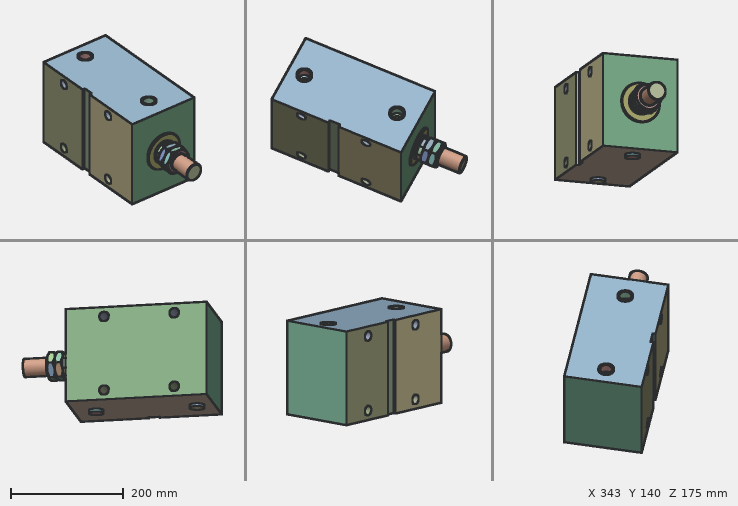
import cadquery as cq
import math

BLOCK_LENGTH = 254.5
BLOCK_WIDTH = 140.0
BLOCK_HEIGHT = 169.8
OVERALL_LENGTH = 343.0
OVERALL_HEIGHT = 175.0

AXIS_Y = BLOCK_WIDTH / 2
AXIS_Z = BLOCK_HEIGHT / 2

SLOT_CENTER_X = 121.8
SLOT_WIDTH = 20.0
SLOT_DEPTH = 5.0
BOLT_HOLE_DIAMETER = 17.0
BOLT_SPACING_X = 127.0
BOLT_SPACING_Z = 135.0

PORT_X = [31.0, 213.0]
SPOT_FACE_DIAMETER = 28.0
SPOT_FACE_DEPTH = 0.1
PORT_DIAMETER = 21.3
PORT_DEPTH = 17.0
OIL_DUCT_DIAMETER = 9.0

PLUG_DIAMETER = 26.0
PLUG_HEIGHT = OVERALL_HEIGHT - BLOCK_HEIGHT

COLLAR_DIAMETER = 72.0
COLLAR_THICKNESS = 3.0
COLLAR_CHAMFER = 1.0

BORE_END_WALL = 15.5
ROD_DIAMETER = 45.0
ROD_SHOULDER_X = BLOCK_LENGTH + 6.2
WRENCH_DIAMETER = 44.0
WRENCH_ACROSS_FLATS = 40.0
THREAD_DIAMETER = 33.0
NECK_DIAMETER = 31.5
NECK_LENGTH = 1.7
THREAD_CHAMFER = 1.0

NUT_COUNT = 2
NUT_START_X = BLOCK_LENGTH + 15.5
NUT_THICKNESS = 14.0
NUT_ACROSS_FLATS = 46.0
NUT_FACE_DIAMETER = 45.0
NUT_CHAMFER_LENGTH = 3.0
NUT_END_X = NUT_START_X + NUT_COUNT * NUT_THICKNESS


def axis_plane(x):
    """Plane across the cylinder axis at x, facing +X."""
    return cq.Plane(origin=(x, AXIS_Y, AXIS_Z), xDir=(0, 1, 0), normal=(1, 0, 0))


def cylinder_on_axis(x_start, x_end, diameter):
    return cq.Workplane(axis_plane(x_start)).circle(diameter / 2).extrude(x_end - x_start)


def port_cut(x):
    """Spot face, port and the thin duct down to the rod bore."""
    top = cq.Workplane("XY").center(x, AXIS_Y)
    spot_floor = BLOCK_HEIGHT - SPOT_FACE_DEPTH
    spot_face = top.workplane(offset=spot_floor).circle(SPOT_FACE_DIAMETER / 2).extrude(SPOT_FACE_DEPTH)
    port = top.workplane(offset=spot_floor).circle(PORT_DIAMETER / 2).extrude(-PORT_DEPTH)
    duct = top.workplane(offset=AXIS_Z).circle(OIL_DUCT_DIAMETER / 2).extrude(spot_floor - AXIS_Z)
    return spot_face.union(port).union(duct)


def make_housing():
    block = cq.Workplane("XY").box(BLOCK_LENGTH, BLOCK_WIDTH, BLOCK_HEIGHT, centered=False)
    collar_end = BLOCK_LENGTH + COLLAR_THICKNESS
    collar = cylinder_on_axis(BLOCK_LENGTH, collar_end, COLLAR_DIAMETER)
    collar = collar.faces(">X").edges().chamfer(COLLAR_CHAMFER)
    slot = cq.Workplane("XY").box(SLOT_WIDTH, SLOT_DEPTH, BLOCK_HEIGHT, centered=False)
    slot = slot.translate((SLOT_CENTER_X - SLOT_WIDTH / 2, 0, 0))
    bolt_holes = (
        cq.Workplane("XZ", origin=(SLOT_CENTER_X, 0, AXIS_Z))
        .rarray(BOLT_SPACING_X, BOLT_SPACING_Z, 2, 2)
        .circle(BOLT_HOLE_DIAMETER / 2)
        .extrude(-BLOCK_WIDTH)
    )
    housing = block.union(collar).cut(slot).cut(bolt_holes)
    for x in PORT_X:
        housing = housing.cut(port_cut(x))
    return housing.cut(cylinder_on_axis(BORE_END_WALL, collar_end, ROD_DIAMETER))


def make_plug(x):
    """Round plug head seated against the underside of the block."""
    return cq.Workplane("XY").center(x, AXIS_Y).circle(PLUG_DIAMETER / 2).extrude(-PLUG_HEIGHT)


def make_rod():
    """Plain rod, a section with four wrench flats, then a necked end with a chamfered thread."""
    shank = cylinder_on_axis(BORE_END_WALL, ROD_SHOULDER_X, ROD_DIAMETER)
    wrench_section = (
        cq.Workplane(axis_plane(ROD_SHOULDER_X))
        .rect(WRENCH_ACROSS_FLATS, WRENCH_ACROSS_FLATS)
        .extrude(NUT_START_X - ROD_SHOULDER_X)
        .intersect(cylinder_on_axis(ROD_SHOULDER_X, NUT_START_X, WRENCH_DIAMETER))
    )
    neck_end = NUT_END_X + NECK_LENGTH
    nut_seat = cylinder_on_axis(NUT_START_X, NUT_END_X, THREAD_DIAMETER)
    neck = cylinder_on_axis(NUT_END_X, neck_end, NECK_DIAMETER)
    thread = cylinder_on_axis(neck_end, OVERALL_LENGTH, THREAD_DIAMETER)
    thread = thread.faces("<X or >X").edges().chamfer(THREAD_CHAMFER)
    return shank.union(wrench_section).union(nut_seat).union(neck).union(thread)


def make_nut(x):
    """Hexagon nut with flats facing up and down and coned corners on both ends."""
    corner_diameter = NUT_ACROSS_FLATS / math.cos(math.pi / 6)
    corner_height = (corner_diameter - NUT_FACE_DIAMETER) / 2
    hexagon = cq.Workplane(axis_plane(x)).polygon(6, corner_diameter).extrude(NUT_THICKNESS)
    coned_blank = (
        cylinder_on_axis(x, x + NUT_THICKNESS, corner_diameter)
        .faces("<X").edges().chamfer(NUT_CHAMFER_LENGTH, corner_height)
        .faces(">X").edges().chamfer(NUT_CHAMFER_LENGTH, corner_height)
    )
    bore = cylinder_on_axis(x, x + NUT_THICKNESS, THREAD_DIAMETER)
    return hexagon.intersect(coned_blank).cut(bore)


housing = make_housing()
rod = make_rod()
plugs = [make_plug(x) for x in PORT_X]
nuts = [make_nut(NUT_START_X + i * NUT_THICKNESS) for i in range(NUT_COUNT)]

result = cq.Compound.makeCompound(
    [housing.val(), rod.val()]
    + [plug.val() for plug in plugs]
    + [nut.val() for nut in nuts]
)